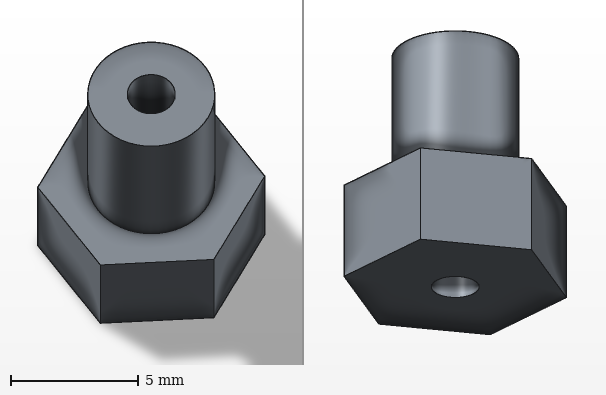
import cadquery as cq
import math

total_height = 10.0
hex_height = 4.0
hex_across_flats = 7.75
shank_diameter = 5.0
bore_diameter = 1.88

hex_across_corners = hex_across_flats / math.cos(math.radians(30))
shank_height = total_height - hex_height

head = (
    cq.Workplane("XY")
    .transformed(rotate=(0, 0, 90))
    .polygon(6, hex_across_corners)
    .extrude(hex_height)
)

shank = (
    cq.Workplane("XY")
    .workplane(offset=hex_height)
    .circle(shank_diameter / 2)
    .extrude(shank_height)
)

bore = cq.Workplane("XY").circle(bore_diameter / 2).extrude(total_height)

result = head.union(shank).cut(bore)